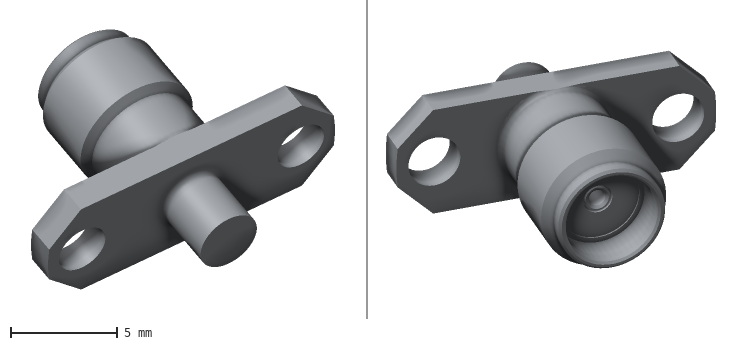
import cadquery as cq
import math

TOTAL_LENGTH = 12.7

MOUTH_RADIUS = 2.67
MOUTH_CHAMFER = 0.13
COLLAR_RADIUS = 3.128
COLLAR_CONE_START = 0.77
COLLAR_FRONT = 1.26
COLLAR_REAR = 4.6
NECK_RADIUS = 2.74
NECK_START = COLLAR_REAR + COLLAR_RADIUS - NECK_RADIUS
NECK_FILLET = 0.3

FLANGE_FRONT = 7.92
FLANGE_THICKNESS = 1.5
FLANGE_REAR = FLANGE_FRONT + FLANGE_THICKNESS
FLANGE_LENGTH = 16
FLANGE_HEIGHT = 5.65
CORNER_CUT = 1.84
END_BULGE = 0.06
HOLE_OFFSET = 6.1
HOLE_RADIUS = 1.3

TAIL_RADIUS = 1.57
TAIL_FILLET = 0.35

BORE_RADIUS = 2.3
BORE_CHAMFER = 0.11
BORE_DEPTH = 1.98
INSULATOR_RADIUS = 2.05
INSULATOR_RECESS = 0.08
PIN_CLEARANCE_RADIUS = 0.72
PIN_RADIUS = 0.62
SOCKET_RADIUS = 0.42
SOCKET_CHAMFER = 0.13
SOCKET_DEPTH = 1.92


def cylinder(start, length, radius):
    """Solid cylinder along +X beginning at X = start."""
    return cq.Workplane("YZ", origin=(start, 0, 0)).circle(radius).extrude(length)


def countersink(start, radius, width):
    """45-degree cone that narrows along +X from radius + width to radius."""
    return cq.Workplane("YZ", origin=(start, 0, 0)).circle(radius + width).extrude(width, taper=45)


def make_turned_body():
    """Revolved barrel and tail, with concave fillets meeting the flange faces."""
    bend = math.sqrt(0.5)
    neck_arc_start = FLANGE_FRONT - NECK_FILLET
    neck_arc_radius = NECK_RADIUS + NECK_FILLET
    tail_arc_end = FLANGE_REAR + TAIL_FILLET
    tail_arc_radius = TAIL_RADIUS + TAIL_FILLET
    body = (
        cq.Workplane("XY")
        .lineTo(0, MOUTH_RADIUS - MOUTH_CHAMFER)
        .lineTo(MOUTH_CHAMFER, MOUTH_RADIUS)
        .lineTo(COLLAR_CONE_START, MOUTH_RADIUS)
        .lineTo(COLLAR_FRONT, COLLAR_RADIUS)
        .lineTo(COLLAR_REAR, COLLAR_RADIUS)
        .lineTo(NECK_START, NECK_RADIUS)
        .lineTo(neck_arc_start, NECK_RADIUS)
        .threePointArc(
            (neck_arc_start + NECK_FILLET * bend, neck_arc_radius - NECK_FILLET * bend),
            (FLANGE_FRONT, neck_arc_radius),
        )
        .lineTo(FLANGE_FRONT, tail_arc_radius)
        .lineTo(FLANGE_REAR, tail_arc_radius)
        .threePointArc(
            (tail_arc_end - TAIL_FILLET * bend, tail_arc_radius - TAIL_FILLET * bend),
            (tail_arc_end, TAIL_RADIUS),
        )
        .lineTo(TOTAL_LENGTH, TAIL_RADIUS)
        .lineTo(TOTAL_LENGTH, 0)
        .close()
        .revolve(360, (0, 0, 0), (1, 0, 0))
    )
    for side in (-1, 1):
        trim = cq.Workplane("XY").box(NECK_FILLET, FLANGE_HEIGHT * 2, FLANGE_HEIGHT)
        body = body.cut(trim.translate((FLANGE_FRONT - NECK_FILLET / 2, 0, side * FLANGE_HEIGHT)))
    return body


def make_flange():
    """Plate with cut corners, slightly bowed ends and two mounting holes."""
    tip = FLANGE_LENGTH / 2
    end_y = tip - END_BULGE
    top = FLANGE_HEIGHT / 2
    shoulder_y = tip - CORNER_CUT
    end_z = top - (CORNER_CUT - END_BULGE)
    return (
        cq.Workplane("YZ", origin=(FLANGE_FRONT, 0, 0))
        .moveTo(-shoulder_y, top)
        .lineTo(shoulder_y, top)
        .lineTo(end_y, end_z)
        .threePointArc((tip, 0), (end_y, -end_z))
        .lineTo(shoulder_y, -top)
        .lineTo(-shoulder_y, -top)
        .lineTo(-end_y, -end_z)
        .threePointArc((-tip, 0), (-end_y, end_z))
        .close()
        .pushPoints([(-HOLE_OFFSET, 0), (HOLE_OFFSET, 0)])
        .circle(HOLE_RADIUS)
        .extrude(FLANGE_THICKNESS)
    )


def make_cavity():
    """Volume removed from the mouth: bore, insulator recess and pin clearance."""
    insulator_face = BORE_DEPTH + INSULATOR_RECESS
    lead_in = countersink(0, BORE_RADIUS, BORE_CHAMFER)
    cavity = cylinder(0, BORE_DEPTH, BORE_RADIUS).union(lead_in)
    cavity = cavity.union(cylinder(0, insulator_face, INSULATOR_RADIUS))
    return cavity.union(cylinder(0, insulator_face + SOCKET_DEPTH, PIN_CLEARANCE_RADIUS))


def make_pin():
    """Hollow centre contact, flush with the insulator face."""
    pin_face = BORE_DEPTH + INSULATOR_RECESS
    socket = cylinder(pin_face, SOCKET_DEPTH, SOCKET_RADIUS)
    socket = socket.union(countersink(pin_face, SOCKET_RADIUS, SOCKET_CHAMFER))
    return cylinder(pin_face, SOCKET_DEPTH, PIN_RADIUS).cut(socket)


result = make_turned_body().union(make_flange()).cut(make_cavity()).union(make_pin())